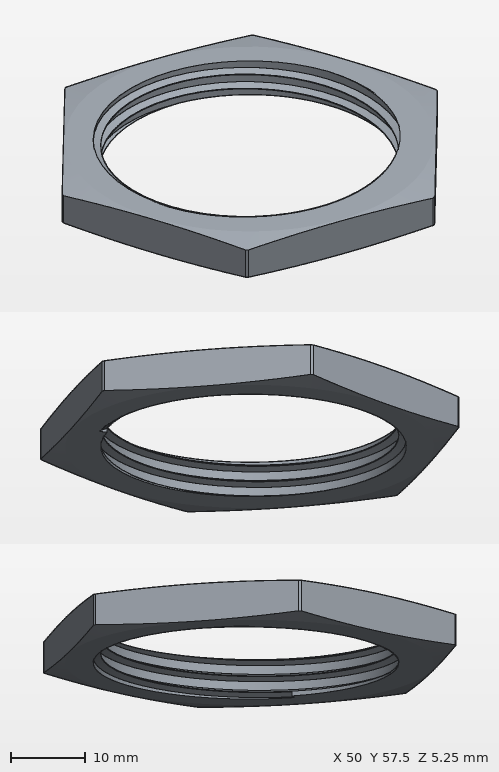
import cadquery as cq
import math

across_flats = 50.0
thickness = 5.25
corner_diameter = 57.5

face_diameter = 49.5
chamfer_angle = 7.2

minor_radius = 20.0
major_radius = 21.0
pitch = 2.2
crest_width = 0.1
root_width = 1.2
crest_exit_angle = 39.0
bore_overlap = 0.2


def hexagon_body():
    """Hexagonal prism with corners on +Y and -Y."""
    across_corners = across_flats / math.cos(math.radians(30))
    return (
        cq.Workplane("XY")
        .polygon(6, across_corners)
        .extrude(thickness)
        .rotate((0, 0, 0), (0, 0, 1), 30)
    )


def chamfer_envelope():
    """Disc with conical upper and lower faces; its rim blunts the hexagon corners."""
    face_radius = face_diameter / 2
    rim_radius = corner_diameter / 2
    drop = (rim_radius - face_radius) * math.tan(math.radians(chamfer_angle))
    return (
        cq.Workplane("XZ")
        .moveTo(0, 0)
        .lineTo(face_radius, 0)
        .lineTo(rim_radius, drop)
        .lineTo(rim_radius, thickness - drop)
        .lineTo(face_radius, thickness)
        .lineTo(0, thickness)
        .close()
        .revolve(360, (0, 0, 0), (0, 1, 0))
    )


def thread_cutter():
    """Trapezoidal groove swept along a helix that starts near the lower face and overruns the upper one."""
    groove_top = thickness - pitch / 2 - pitch * crest_exit_angle / 360
    turns_below = math.ceil(groove_top / pitch)
    start_z = groove_top - turns_below * pitch
    turns = turns_below + 2
    half_mouth = (pitch - crest_width) / 2
    half_root = root_width / 2
    inner_radius = minor_radius - bore_overlap
    path = cq.Wire.makeHelix(pitch, turns * pitch, minor_radius)
    groove = (
        cq.Workplane("XZ")
        .moveTo(inner_radius, -half_mouth)
        .lineTo(minor_radius, -half_mouth)
        .lineTo(major_radius, -half_root)
        .lineTo(major_radius, half_root)
        .lineTo(minor_radius, half_mouth)
        .lineTo(inner_radius, half_mouth)
        .close()
        .sweep(cq.Workplane(path), isFrenet=True)
    )
    return groove.translate((0, 0, start_z))


bore = cq.Workplane("XY").circle(minor_radius).extrude(thickness)

result = hexagon_body().intersect(chamfer_envelope()).cut(bore).cut(thread_cutter())